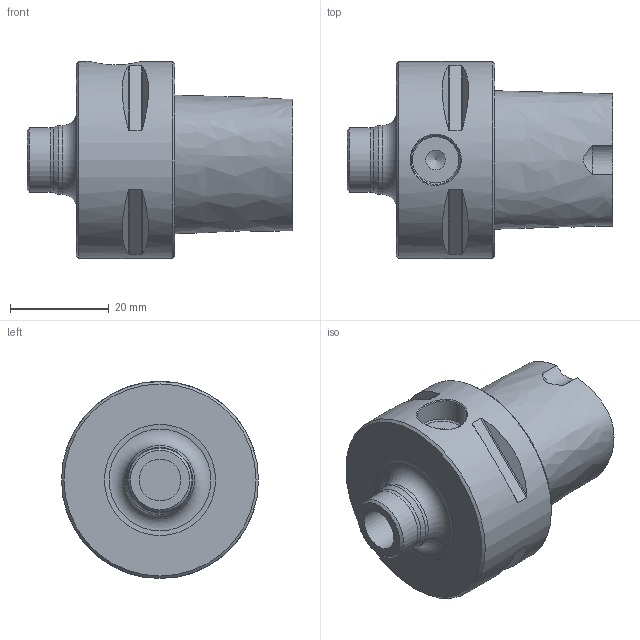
import math

import cadquery as cq


flange_radius = 20.0
flange_length = 20.0
flange_chamfer = 0.5
flange_front = -flange_length

spigot_length = 10.0
spigot_radius = 13.0 / 2
spigot_chamfer = 0.5
shoulder_radius = 14.0 / 2
shoulder_start = 6.4
ramp_angle = math.radians(20)
ramp_fillet = 2.0
spigot_end = flange_front - spigot_length

root_fillet = 3.0
relief_depth = 0.12
relief_angle = math.radians(6)

bore_diameter = 8.5
bore_depth = spigot_length

shank_length = 24.0
shank_width = 28.1
lobe_height = 0.9
taper_ratio = 1 / 20
points_per_lobe = 16
lobe_count = 3

notch_diameter = 7.5
notch_length = 4.1
notch_height = 14.65
notch_half_angle = math.radians(43)

groove_count = 4
groove_first_angle = 45.0
groove_x = -8.0
groove_floor_width = 2.7
groove_floor_distance = 17.7
groove_wall_angle = math.radians(30)
groove_corner_radius = 0.3

pocket_x = -12.0
pocket_diameter = 10.0
pocket_floor = 14.7
pocket_mouth_chamfer = 0.2
pocket_floor_chamfer = 0.3
dimple_diameter = 4.0
dimple_half_angle = math.radians(60)


def arc_midpoint(center, radius, start, end):
    """Point halfway along an arc given by its end angles."""
    middle = (start + end) / 2
    return (center[0] + radius * math.cos(middle), center[1] + radius * math.sin(middle))


def make_turned_body():
    """Spigot, relief and flange, turned about X."""
    blend_rise = ramp_fillet * (1 - math.cos(ramp_angle))
    ramp_top_x = spigot_end + shoulder_start
    ramp_bottom_x = ramp_top_x - (shoulder_radius - spigot_radius - blend_rise) / math.tan(ramp_angle)
    blend_x = ramp_bottom_x - ramp_fillet * math.sin(ramp_angle)
    blend_center = (blend_x, spigot_radius + ramp_fillet)
    blend_start = -math.pi / 2
    blend_mid = arc_midpoint(blend_center, ramp_fillet, blend_start, blend_start + ramp_angle)

    root_x = flange_front + relief_depth - root_fillet
    root_center = (root_x, shoulder_radius + root_fillet)
    root_mid = arc_midpoint(root_center, root_fillet, -math.pi / 2, relief_angle)
    root_end_x = root_x + root_fillet * math.cos(relief_angle)
    root_end_radius = root_center[1] + root_fillet * math.sin(relief_angle)
    relief_radius = root_end_radius + (root_end_x - flange_front) / math.tan(relief_angle)

    profile = (
        cq.Workplane("XY")
        .moveTo(spigot_end, 0)
        .lineTo(spigot_end, spigot_radius - spigot_chamfer)
        .lineTo(spigot_end + spigot_chamfer, spigot_radius)
        .lineTo(blend_x, spigot_radius)
        .threePointArc(blend_mid, (ramp_bottom_x, spigot_radius + blend_rise))
        .lineTo(ramp_top_x, shoulder_radius)
        .lineTo(root_x, shoulder_radius)
        .threePointArc(root_mid, (root_end_x, root_end_radius))
        .lineTo(flange_front, relief_radius)
        .lineTo(flange_front, flange_radius - flange_chamfer)
        .lineTo(flange_front + flange_chamfer, flange_radius)
        .lineTo(-flange_chamfer, flange_radius)
        .lineTo(0, flange_radius - flange_chamfer)
        .lineTo(0, 0)
        .close()
    )
    return profile.revolve(360, (0, 0, 0), (1, 0, 0))


def lobed_point(mean_radius, angle):
    """Point of a constant-width outline with one lobe on -Z, in the YZ plane."""
    support = mean_radius + lobe_height * math.sin(lobe_count * angle)
    slope = lobe_count * lobe_height * math.cos(lobe_count * angle)
    y = support * math.cos(angle) - slope * math.sin(angle)
    z = support * math.sin(angle) + slope * math.cos(angle)
    return (y, z)


def lobed_outline(x, width):
    """Closed smooth outline of the shank at position x."""
    count = lobe_count * points_per_lobe
    points = []
    for index in range(count):
        y, z = lobed_point(width / 2, 2 * math.pi * index / count)
        points.append(cq.Vector(x, y, z))
    return cq.Wire.assembleEdges([cq.Edge.makeSpline(points, periodic=True)])


def make_shank():
    """Tapered three-lobed shank."""
    end_width = shank_width - taper_ratio * shank_length
    outlines = [lobed_outline(0, shank_width), lobed_outline(shank_length, end_width)]
    return cq.Workplane(obj=cq.Solid.makeLoft(outlines, True))


def make_notch_cutter():
    """Round cutter with a conical point, running in from the shank end."""
    radius = notch_diameter / 2
    shoulder_x = shank_length - notch_length
    tip_x = shoulder_x - radius / math.tan(notch_half_angle)
    half_section = [
        (tip_x, 0),
        (shoulder_x, radius),
        (shank_length, radius),
        (shank_length, 0),
    ]
    cutter = cq.Workplane("XY").polyline(half_section).close().revolve(360, (0, 0, 0), (1, 0, 0))
    return cutter.translate((0, 0, notch_height))


def make_groove_cutter():
    """Straight groove with sloping walls, cutting into the +Z side along Y."""
    half_floor = groove_floor_width / 2
    half_mouth = half_floor + (flange_radius - groove_floor_distance) * math.tan(groove_wall_angle)
    section = [
        (groove_x - half_floor, groove_floor_distance),
        (groove_x + half_floor, groove_floor_distance),
        (groove_x + half_mouth, flange_radius),
        (groove_x - half_mouth, flange_radius),
    ]
    cutter = cq.Workplane("XZ").polyline(section).close().extrude(flange_radius, both=True)
    return cutter.edges("|Y and <Z").fillet(groove_corner_radius)


def cut_grooves(body):
    """Cut the gripper grooves at equal angles around the flange."""
    cutter = make_groove_cutter()
    for index in range(groove_count):
        angle = groove_first_angle + index * 360 / groove_count
        body = body.cut(cutter.rotate((0, 0, 0), (1, 0, 0), angle))
    return body


def cut_pocket(body):
    """Round pocket with broken edges and a conical dimple in its floor."""
    radius = pocket_diameter / 2
    pocket = (
        cq.Workplane("XY", origin=(pocket_x, 0, pocket_floor))
        .circle(radius)
        .extrude(flange_radius - pocket_floor)
        .faces("<Z")
        .edges()
        .chamfer(pocket_floor_chamfer)
    )
    mouth_region = cq.selectors.BoxSelector(
        (pocket_x - radius, -radius, (pocket_floor + flange_radius) / 2),
        (pocket_x + radius, radius, flange_radius),
    )
    body = body.cut(pocket).edges(mouth_region).edges("not(%LINE)").chamfer(pocket_mouth_chamfer)

    dimple_radius = dimple_diameter / 2
    dimple_depth = dimple_radius / math.tan(dimple_half_angle)
    dimple = cq.Solid.makeCone(
        dimple_radius, 0, dimple_depth, cq.Vector(pocket_x, 0, pocket_floor), cq.Vector(0, 0, -1)
    )
    return body.cut(cq.Workplane(obj=dimple))


def cut_bore(body):
    """Blind flat-bottomed bore in the spigot."""
    bore = (
        cq.Workplane("YZ", origin=(spigot_end, 0, 0))
        .circle(bore_diameter / 2)
        .extrude(bore_depth)
    )
    return body.cut(bore)


body = make_turned_body()
body = cut_pocket(body)
body = cut_grooves(body)
body = cut_bore(body)
shank = make_shank().cut(make_notch_cutter())
result = body.union(shank)